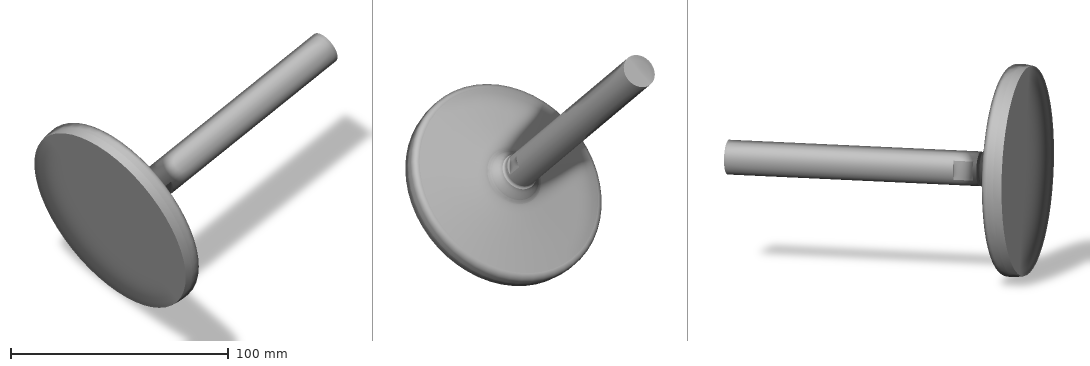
import cadquery as cq
import math


total_length = 142.0

pad_radius = 48.99
floor_radius = 48.4
rim_taper_height = 3.8
rim_band_height = 3.0
rim_fillet = 3.0
back_slope = 1 / 6
hub_top_radius = 7.9
hub_top = 20.3
hub_fillet = 3.0

shaft_radius = 8.0
shaft_bottom = 22.35
foot_radius = 8.8
foot_edge_rise = 0.4
foot_bulge = 0.15
foot_neck_radius = 4.5
flats_bottom = 24.1
flats_length = 9.3
across_flats = 13.3


def revolve_about_y(profile):
    """Turn a closed radius/Y profile into a solid around the Y axis."""
    return profile.close().revolve(360, (0, 0, 0), (0, 1, 0))


def make_pad():
    rim_top = rim_taper_height + rim_band_height
    shoulder_radius = pad_radius - rim_fillet
    shoulder_height = rim_top + rim_fillet
    arc_mid_offset = rim_fillet * math.sqrt(0.5)

    hub_side_sum = hub_top + hub_top_radius
    back_axis_height = shoulder_height + back_slope * shoulder_radius
    meeting_radius = (hub_side_sum - back_axis_height) / (1 - back_slope)
    meeting_height = hub_side_sum - meeting_radius

    profile = (
        cq.Workplane("XY")
        .moveTo(0, 0)
        .lineTo(floor_radius, 0)
        .lineTo(pad_radius, rim_taper_height)
        .lineTo(pad_radius, rim_top)
        .threePointArc(
            (shoulder_radius + arc_mid_offset, rim_top + arc_mid_offset),
            (shoulder_radius, shoulder_height),
        )
        .lineTo(meeting_radius, meeting_height)
        .lineTo(hub_top_radius, hub_top)
        .lineTo(0, hub_top)
    )
    pick_margin = 0.1
    hub_root = cq.selectors.BoxSelector(
        (-pad_radius, meeting_height - pick_margin, -pad_radius),
        (pad_radius, meeting_height + pick_margin, pad_radius),
    )
    return revolve_about_y(profile).edges(hub_root).fillet(hub_fillet)


def make_stud():
    foot_edge_height = hub_top + foot_edge_rise
    profile = (
        cq.Workplane("XY")
        .moveTo(0, hub_top)
        .lineTo(hub_top_radius, hub_top)
        .lineTo(foot_radius, foot_edge_height)
        .sagittaArc((foot_neck_radius, shaft_bottom), -foot_bulge)
        .lineTo(shaft_radius, shaft_bottom)
        .lineTo(shaft_radius, total_length)
        .lineTo(0, total_length)
    )
    stud = revolve_about_y(profile)

    flat_cutter_x = (across_flats + shaft_radius) / 2
    flats_middle = flats_bottom + flats_length / 2
    for side in (-1, 1):
        cutter = cq.Workplane("XY").box(shaft_radius, flats_length, 2 * shaft_radius)
        cutter = cutter.translate((flat_cutter_x * side, flats_middle, 0))
        stud = stud.cut(cutter)
    return stud


pad = make_pad()
stud = make_stud()

result = cq.Compound.makeCompound([pad.val(), stud.val()])